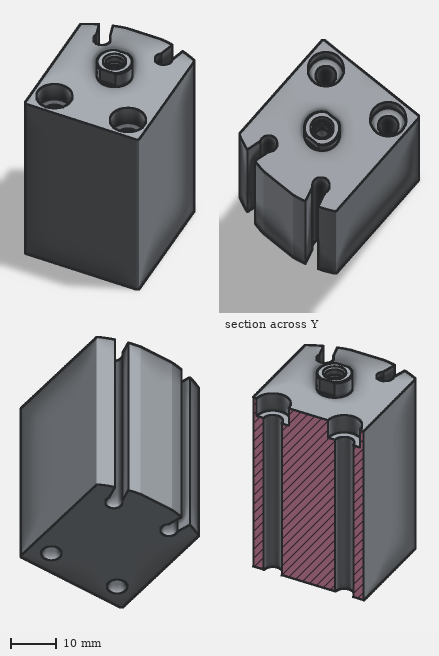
import cadquery as cq
import math

OVERALL_HEIGHT = 49.0
ROD_PROTRUSION = 4.0
HOUSING_HEIGHT = OVERALL_HEIGHT - ROD_PROTRUSION
HOUSING_WIDTH = 28.0
HOUSING_DEPTH = 32.0
BACK_Y = 15.0
FRONT_Y = BACK_Y - HOUSING_DEPTH
HALF_WIDTH = HOUSING_WIDTH / 2

CROWN_RADIUS = 30.0
CROWN_FLAT_HALF = 4.25
CROWN_CENTER_Y = BACK_Y - math.sqrt(CROWN_RADIUS**2 - CROWN_FLAT_HALF**2)
FRONT_FILLET = 0.5
BACK_FILLET = 0.4

GROOVE_DIAMETER = 3.8
GROOVE_X = 7.55
GROOVE_Y = 9.35
GROOVE_MOUTH_WIDTH = 3.1
GROOVE_MOUTH_LENGTH = 9.8
GROOVE_TILT = 15.0

MOUNT_DIAMETER = 4.5
MOUNT_BORE_DIAMETER = 8.0
MOUNT_BORE_DEPTH = 4.6
MOUNT_X = 9.0
MOUNT_Y = -12.0

ROD_DIAMETER = 8.0
ROD_SEAT_DEPTH = 9.8
ROD_LENGTH = ROD_SEAT_DEPTH + ROD_PROTRUSION
ROD_CHAMFER = 0.2
FLATS_ACROSS = 7.0
FLATS_LENGTH = 3.65

MOUTH_DIAMETER = 5.15
BORE_DIAMETER = 4.1
DRILL_DIAMETER = 3.25
BORE_DEPTH = 1.95
DRILL_DEPTH = 5.9
DRILL_POINT_ANGLE = 118.0


def crown_y(x):
    """Y of the crowned back at a given X on its arcs."""
    return CROWN_CENTER_Y + math.sqrt(CROWN_RADIUS**2 - x**2)


def housing_block():
    arc_mid_x = (CROWN_FLAT_HALF + HALF_WIDTH) / 2
    corner_y = crown_y(HALF_WIDTH)
    block = (
        cq.Workplane("XY")
        .moveTo(-HALF_WIDTH, FRONT_Y)
        .lineTo(HALF_WIDTH, FRONT_Y)
        .lineTo(HALF_WIDTH, corner_y)
        .threePointArc((arc_mid_x, crown_y(arc_mid_x)), (CROWN_FLAT_HALF, BACK_Y))
        .lineTo(-CROWN_FLAT_HALF, BACK_Y)
        .threePointArc((-arc_mid_x, crown_y(arc_mid_x)), (-HALF_WIDTH, corner_y))
        .close()
        .extrude(HOUSING_HEIGHT)
    )
    block = block.edges("|Z and <Y").fillet(FRONT_FILLET)
    back_corners = [(side * HALF_WIDTH, corner_y, HOUSING_HEIGHT / 2) for side in (-1, 1)]
    for corner in back_corners:
        block = block.edges(cq.selectors.NearestToPointSelector(corner)).fillet(BACK_FILLET)
    return block


def sensor_groove(side):
    """Groove cutter on the -X (-1) or +X (+1) side, opening outward to the back."""
    channel = cq.Workplane("XY").circle(GROOVE_DIAMETER / 2).extrude(HOUSING_HEIGHT)
    mouth = (
        cq.Workplane("XY")
        .rect(GROOVE_MOUTH_WIDTH, GROOVE_MOUTH_LENGTH)
        .extrude(HOUSING_HEIGHT)
        .translate((0, GROOVE_MOUTH_LENGTH / 2, 0))
        .rotate((0, 0, 0), (0, 0, 1), -side * GROOVE_TILT)
    )
    return channel.union(mouth).translate((side * GROOVE_X, GROOVE_Y, 0))


def make_housing():
    housing = housing_block()
    for side in (-1, 1):
        housing = housing.cut(sensor_groove(side))
    housing = (
        housing.faces(">Z")
        .workplane(origin=(0, 0, HOUSING_HEIGHT))
        .pushPoints([(-MOUNT_X, MOUNT_Y), (MOUNT_X, MOUNT_Y)])
        .cboreHole(MOUNT_DIAMETER, MOUNT_BORE_DIAMETER, MOUNT_BORE_DEPTH)
    )
    return housing.faces(">Z").workplane(origin=(0, 0, HOUSING_HEIGHT)).hole(ROD_DIAMETER, ROD_SEAT_DEPTH)


def rod_end_hole():
    """Revolved cutter: countersink, bore, conical step and pointed drill hole."""
    mouth_r = MOUTH_DIAMETER / 2
    bore_r = BORE_DIAMETER / 2
    drill_r = DRILL_DIAMETER / 2
    countersink_depth = mouth_r - bore_r
    step_depth = bore_r - drill_r
    point_depth = drill_r / math.tan(math.radians(DRILL_POINT_ANGLE / 2))
    return (
        cq.Workplane("XZ")
        .polyline([
            (0, 0),
            (mouth_r, 0),
            (bore_r, -countersink_depth),
            (bore_r, -BORE_DEPTH),
            (drill_r, -BORE_DEPTH - step_depth),
            (drill_r, -DRILL_DEPTH),
            (0, -DRILL_DEPTH - point_depth),
        ])
        .close()
        .revolve(360, (0, 0, 0), (0, 1, 0))
        .translate((0, 0, OVERALL_HEIGHT))
    )


def make_rod():
    rod = (
        cq.Workplane("XY")
        .workplane(offset=OVERALL_HEIGHT - ROD_LENGTH)
        .circle(ROD_DIAMETER / 2)
        .extrude(ROD_LENGTH)
        .faces(">Z")
        .chamfer(ROD_CHAMFER)
    )
    for side in (-1, 1):
        flat_cutter = (
            cq.Workplane("XY")
            .box(ROD_DIAMETER, ROD_DIAMETER, FLATS_LENGTH, centered=(True, True, False))
            .translate((0, side * (FLATS_ACROSS + ROD_DIAMETER) / 2, OVERALL_HEIGHT - FLATS_LENGTH))
        )
        rod = rod.cut(flat_cutter)
    return rod.cut(rod_end_hole())


housing = make_housing()
rod = make_rod()
result = cq.Compound.makeCompound([housing.val(), rod.val()])